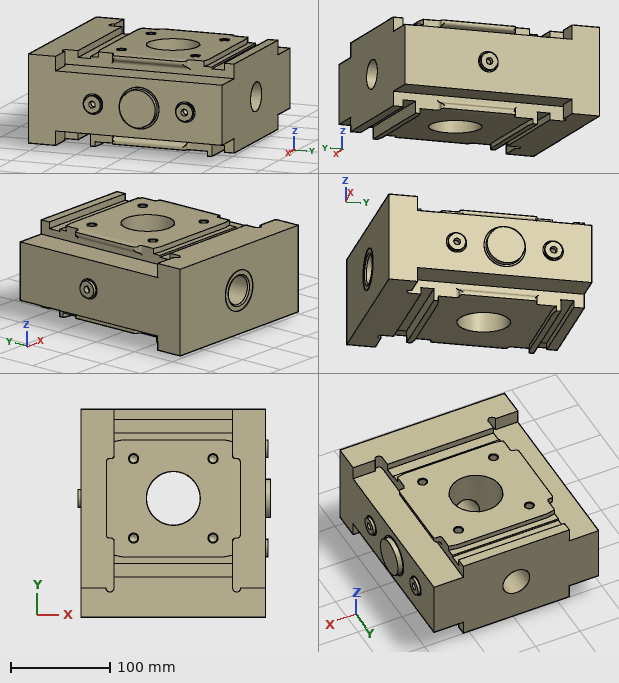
import cadquery as cq
import math

body_width = 186.0
body_half_height = 46.0
back_y = 90.0
front_y = -120.0
flange_back_y = -90.4
web_half_height = 31.0
pad_half_width = 59.85
relief_radius = 4.0

main_bore_diameter = 54.0

face_half_height = 46.5
slot_outer_y = 79.25
slot_inner_y = 65.75
slot_floor = 39.0
land_height = 41.0
plate_half_length = 59.0
rim_height = 51.5
rim_inner_y = 59.25
corner_bevel_length = 9.0
corner_bevel_drop = 1.8

tab_half_length = 40.0
tab_reach = 7.6
tab_nose_top = 45.7
tab_underside_edge = 41.3
tab_underside_angle = 24.0
tab_radius = 3.0

mount_offset = 40.0
mount_hole_diameter = 8.38
mount_chamfer_diameter = 10.0
mount_hole_depth = 20.0
mount_point_angle = 118.0

port_diameter = 30.29
port_thread_diameter = 33.25
port_spotface_diameter = 43.0
spotface_depth = 0.5

small_head_diameter = 18.0
small_shank_diameter = 13.16
small_shank_length = 12.0
small_spotface_diameter = 21.0
small_socket_diameter = 6.9
small_socket_depth = 6.0
small_socket_point_angle = 90.0
left_plug_rise = 3.1
right_plug_rise = 2.5
right_plug_offset = 50.0
large_head_diameter = 39.0
large_shank_length = 16.0
large_plug_rise = 5.0

half_width = body_width / 2
overshoot = 5.0


def box(x0, x1, y0, y1, z0, z1):
    """Box between two opposite corners."""
    return cq.Workplane("XY").box(x1 - x0, y1 - y0, z1 - z0, centered=False).translate((x0, y0, z0))


def cylinder(diameter, start, length, direction):
    """Cylinder growing from a start point along a direction."""
    return cq.Workplane(
        cq.Solid.makeCylinder(diameter / 2, length, cq.Vector(*start), cq.Vector(*direction))
    )


def cone(large_diameter, small_diameter, start, length, direction):
    """Cone that tapers from a start point along a direction."""
    return cq.Workplane(
        cq.Solid.makeCone(
            large_diameter / 2, small_diameter / 2, length, cq.Vector(*start), cq.Vector(*direction)
        )
    )


def point_height(diameter, angle):
    """Height of the conical end of a drilled hole."""
    return diameter / 2 / math.tan(math.radians(angle / 2))


def bevelled_outline(half_length, drop):
    """Rectangle as wide as the pads, its long edges bent by a drop towards the Y axis at both ends."""
    straight_x = pad_half_width - corner_bevel_length
    end_y = half_length - drop
    return [
        (-pad_half_width, -end_y),
        (-straight_x, -half_length),
        (straight_x, -half_length),
        (pad_half_width, -end_y),
        (pad_half_width, end_y),
        (straight_x, half_length),
        (-straight_x, half_length),
        (-pad_half_width, end_y),
    ]


def wing_relief(side):
    """Space above one wing, with the round corner relief running into the flange."""
    inner_x = side * pad_half_width
    outer_x = side * (half_width + overshoot)
    x0, x1 = sorted((inner_x, outer_x))
    top = rim_height + overshoot
    relief = box(x0, x1, flange_back_y, back_y + overshoot, web_half_height, top)
    relief_centre = (side * (pad_half_width + relief_radius), flange_back_y, web_half_height)
    return relief.union(cylinder(2 * relief_radius, relief_centre, top - web_half_height, (0, 0, 1)))


def pad_slots():
    """The two cross slots in the upper pad."""
    top = rim_height + overshoot
    slots = box(-pad_half_width, pad_half_width, slot_inner_y, slot_outer_y, slot_floor, top)
    return slots.union(slots.mirror("XZ"))


def top_plate():
    """Raised plate of the upper connection face."""
    outline = bevelled_outline(plate_half_length, corner_bevel_drop)
    height = face_half_height - land_height
    return cq.Workplane("XY").workplane(offset=land_height).polyline(outline).close().extrude(height)


def bottom_face():
    """Lower connection face with a rib along each long edge."""
    slab = box(-pad_half_width, pad_half_width, -slot_inner_y, slot_inner_y, -rim_height, -slot_floor)
    outline = bevelled_outline(rim_inner_y, -corner_bevel_drop)
    recess = (
        cq.Workplane("XY").workplane(offset=-face_half_height)
        .polyline(outline).close().extrude(face_half_height - rim_height)
    )
    return slab.cut(recess)


def clamping_tab():
    """Wedge-shaped tab on the -X side of the upper pad, blended into the pad at its root."""
    root_x = -pad_half_width
    nose_x = root_x - tab_reach
    backing_x = root_x + overshoot
    underside_drop = tab_reach * math.tan(math.radians(tab_underside_angle))
    root_bottom = tab_underside_edge - underside_drop
    top = face_half_height + overshoot

    backing_half_length = tab_half_length + 2 * tab_radius
    backing = box(
        root_x, backing_x, -backing_half_length, backing_half_length, web_half_height, top
    )

    wedge = (
        cq.Workplane("XZ", origin=(0, tab_half_length, 0))
        .polyline([
            (backing_x, top), (nose_x, top), (nose_x, tab_underside_edge),
            (root_x, root_bottom), (backing_x, root_bottom),
        ])
        .close()
        .extrude(2 * tab_half_length)
        .edges("|Y and <X").edges("<Z").fillet(tab_radius)
    )
    plan = box(nose_x, backing_x, -tab_half_length, tab_half_length, web_half_height, top)
    wedge = wedge.intersect(plan.edges("|Z and <X").fillet(tab_radius))

    margin = 0.1
    root_edges = cq.selectors.BoxSelector(
        (root_x - margin, -tab_half_length - margin, root_bottom - margin),
        (root_x + margin, tab_half_length + margin, top),
    )
    tab = backing.union(wedge).edges(root_edges).fillet(tab_radius)

    above_slope = (
        cq.Workplane("XZ", origin=(0, backing_half_length, 0))
        .polyline([
            (backing_x, face_half_height), (root_x, face_half_height), (nose_x, tab_nose_top),
            (nose_x, top), (backing_x, top),
        ])
        .close()
        .extrude(2 * backing_half_length)
    )
    return tab.cut(above_slope)


def mount_hole(x, y):
    """Blind tapped hole with a chamfered mouth and a conical end."""
    down = (0, 0, -1)
    mouth = (x, y, face_half_height)
    end = (x, y, face_half_height - mount_hole_depth)
    chamfer_depth = (mount_chamfer_diameter - mount_hole_diameter) / 2
    tip_height = point_height(mount_hole_diameter, mount_point_angle)
    hole = cylinder(mount_hole_diameter, mouth, mount_hole_depth, down)
    hole = hole.union(cone(mount_hole_diameter, 0, end, tip_height, down))
    return hole.union(cone(mount_chamfer_diameter, mount_hole_diameter, mouth, chamfer_depth, down))


def flow_port():
    """Through port along Y with a spotface and a chamfered mouth in the front face."""
    inward = (0, 1, 0)
    seat = (0, front_y + spotface_depth, 0)
    chamfer_depth = (port_thread_diameter - port_diameter) / 2
    port = cylinder(port_diameter, (0, front_y, 0), back_y - front_y, inward)
    port = port.union(cylinder(port_spotface_diameter, (0, front_y, 0), spotface_depth, inward))
    return port.union(cone(port_thread_diameter, port_diameter, seat, chamfer_depth, inward))


def plug_seat(side, y, spotface_diameter, shank_diameter, shank_length):
    """Spotface and hole in a side face that take a screw plug."""
    inward = (-side, 0, 0)
    face = (side * half_width, y, 0)
    seat = cylinder(spotface_diameter, face, spotface_depth, inward)
    return seat.union(cylinder(shank_diameter, face, spotface_depth + shank_length, inward))


def plug(side, y, rise, head_diameter, shank_diameter, shank_length):
    """Screw plug whose head stands proud of the side face by its rise."""
    inward = (-side, 0, 0)
    outer_end = (side * (half_width + rise), y, 0)
    head_length = rise + spotface_depth
    head = cylinder(head_diameter, outer_end, head_length, inward)
    return head.union(cylinder(shank_diameter, outer_end, head_length + shank_length, inward))


def small_plug(side, y, rise):
    """Small screw plug with a round socket that ends in a cone."""
    inward = (-side, 0, 0)
    outer_x = side * (half_width + rise)
    body = plug(side, y, rise, small_head_diameter, small_shank_diameter, small_shank_length)
    body = body.cut(cylinder(small_socket_diameter, (outer_x, y, 0), small_socket_depth, inward))
    socket_end = (outer_x - side * small_socket_depth, y, 0)
    tip_height = point_height(small_socket_diameter, small_socket_point_angle)
    return body.cut(cone(small_socket_diameter, 0, socket_end, tip_height, inward))


small_plug_places = [
    (-1, 0, left_plug_rise),
    (1, -right_plug_offset, right_plug_rise),
    (1, right_plug_offset, right_plug_rise),
]


def make_housing():
    housing = box(-half_width, half_width, front_y, back_y, -body_half_height, body_half_height)

    for side in (-1, 1):
        relief = wing_relief(side)
        housing = housing.cut(relief).cut(relief.mirror("XY"))
    slots = pad_slots()
    housing = housing.cut(slots).cut(slots.mirror("XY"))
    housing = housing.cut(
        box(-pad_half_width, pad_half_width, -slot_inner_y, slot_inner_y, land_height, rim_height)
    )
    housing = housing.union(top_plate()).union(bottom_face())

    left_tab = clamping_tab()
    for tab in (left_tab, left_tab.mirror("YZ")):
        housing = housing.union(tab).union(tab.mirror("XY"))

    bore_bottom = (0, 0, -rim_height)
    housing = housing.cut(cylinder(main_bore_diameter, bore_bottom, 2 * rim_height, (0, 0, 1)))
    housing = housing.cut(flow_port())
    for x in (-mount_offset, mount_offset):
        for y in (-mount_offset, mount_offset):
            housing = housing.cut(mount_hole(x, y))

    for side, y, _ in small_plug_places:
        housing = housing.cut(
            plug_seat(side, y, small_spotface_diameter, small_shank_diameter, small_shank_length)
        )
    return housing.cut(
        plug_seat(1, 0, port_spotface_diameter, port_thread_diameter, large_shank_length)
    )


housing = make_housing()
small_plugs = [small_plug(side, y, rise) for side, y, rise in small_plug_places]
large_plug = plug(
    1, 0, large_plug_rise, large_head_diameter, port_thread_diameter, large_shank_length
)

result = cq.Compound.makeCompound(
    [housing.val(), *[body.val() for body in small_plugs], large_plug.val()]
)